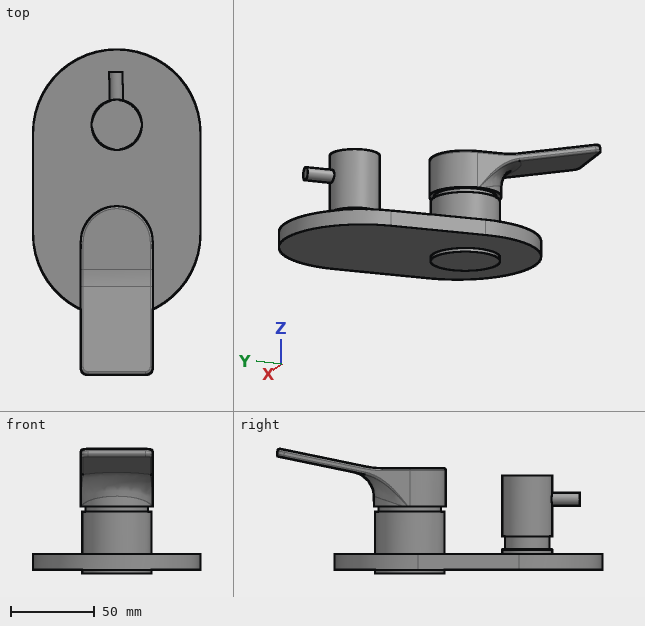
import cadquery as cq
import math

PLATE_WIDTH = 100.0
PLATE_LENGTH = 160.0
PLATE_THICKNESS = 9.5
AXIS_OFFSET = 35.0

SLEEVE_RADIUS = 20.75
SLEEVE_LENGTH = 37.0
SLEEVE_BELOW_PLATE = 2.3
COLLAR_RADIUS = 18.7
COLLAR_HEIGHT = 3.0
LEVER_WIDTH = 43.0
LEVER_HUB_HEIGHT = 23.0
BLADE_ANGLE = 11.66
BLADE_THICKNESS = 4.9
BLADE_LENGTH = 53.25
BEND_START = 16.3
BEND_RADIUS = 50.0
WEB_RADIUS = 14.5
TIP_CORNER_RADIUS = 4.3
LEVER_EDGE_RADIUS = 1.5

FLANGE_RADIUS = 15.0
FLANGE_HEIGHT = 2.8
FLANGE_CHAMFER = 0.4
NECK_RADIUS = 13.3
KNOB_RADIUS = 15.0
KNOB_BOTTOM = 10.5
KNOB_HEIGHT = 36.3
PIN_TURN = 1.0
PIN_RADIUS = 4.0
PIN_REACH = 31.4
PIN_HEIGHT = 32.6

SLEEVE_BOTTOM = -PLATE_THICKNESS - SLEEVE_BELOW_PLATE
SLEEVE_TOP = SLEEVE_BOTTOM + SLEEVE_LENGTH
LEVER_BOTTOM = SLEEVE_TOP + COLLAR_HEIGHT
LEVER_TOP = LEVER_BOTTOM + LEVER_HUB_HEIGHT


def cylinder(y, bottom, radius, height):
    """Upright cylinder standing at (0, y) from the given level."""
    return cq.Workplane("XY", origin=(0, y, bottom)).circle(radius).extrude(height)


def make_plate():
    """Stadium plate with a through hole for the mixer sleeve."""
    plate = (
        cq.Workplane("XY", origin=(0, 0, -PLATE_THICKNESS))
        .slot2D(PLATE_LENGTH, PLATE_WIDTH, 90)
        .extrude(PLATE_THICKNESS)
    )
    return plate.cut(cylinder(-AXIS_OFFSET, -PLATE_THICKNESS, SLEEVE_RADIUS, PLATE_THICKNESS))


def box_around(first, second, width):
    """Selector for edges lying wholly near the line between two (Y, Z) points."""
    margin = 0.1
    low = [min(a, b) - margin for a, b in zip(first, second)]
    high = [max(a, b) + margin for a, b in zip(first, second)]
    return cq.selectors.BoxSelector(
        (-width / 2 - margin, low[0], low[1]),
        (width / 2 + margin, high[0], high[1]),
        boundingbox=True,
    )


def make_lever():
    """Round hub and rising blade, joined underneath by a large concave fillet."""
    slope = math.radians(BLADE_ANGLE)
    rise, run = math.sin(slope), math.cos(slope)
    hub_radius = LEVER_WIDTH / 2

    def bend_point(angle):
        """(Y, Z) point on the top bend, with Y measured from the mixer axis."""
        return (
            -BEND_START - BEND_RADIUS * math.sin(angle),
            LEVER_TOP + BEND_RADIUS * (1 - math.cos(angle)),
        )

    bend_end = bend_point(slope)
    tip_top = (bend_end[0] - BLADE_LENGTH * run, bend_end[1] + BLADE_LENGTH * rise)
    tip_bottom = (tip_top[0] - BLADE_THICKNESS * rise, tip_top[1] - BLADE_THICKNESS * run)
    slab_back = LEVER_WIDTH
    underside_back = (slab_back, tip_bottom[1] - (slab_back - tip_bottom[0]) * math.tan(slope))

    slab_width = 3 * LEVER_WIDTH
    slab = (
        cq.Workplane("YZ", origin=(-slab_width / 2, 0, 0))
        .moveTo(slab_back, LEVER_TOP)
        .lineTo(-BEND_START, LEVER_TOP)
        .threePointArc(bend_point(slope / 2), bend_end)
        .lineTo(*tip_top)
        .lineTo(*tip_bottom)
        .lineTo(*underside_back)
        .close()
        .extrude(slab_width)
    )
    hub_depth = 2 * LEVER_HUB_HEIGHT
    hub = cylinder(0, LEVER_TOP - hub_depth, hub_radius, hub_depth)
    hub = hub.cut(slab)
    body = slab.union(hub)
    root_top = LEVER_TOP - BLADE_THICKNESS / 2
    root_zone = box_around((-hub_radius, LEVER_BOTTOM), (hub_radius, root_top), LEVER_WIDTH)
    body = body.edges(root_zone).edges("not %LINE").fillet(WEB_RADIUS)

    trim_height = 2 * LEVER_HUB_HEIGHT
    trim_length = 2 * BLADE_LENGTH
    outline = cylinder(0, LEVER_BOTTOM, hub_radius, trim_height).union(
        cq.Workplane("XY", origin=(0, -trim_length / 2, LEVER_BOTTOM))
        .rect(LEVER_WIDTH, trim_length)
        .extrude(trim_height)
    )
    lever = cq.Workplane(body.intersect(outline).solids().val())

    corner_zone = box_around(tip_top, tip_bottom, LEVER_WIDTH)
    lever = lever.edges(corner_zone).edges("not |X").fillet(TIP_CORNER_RADIUS)
    for tip in (tip_top, tip_bottom):
        rim_zone = box_around(tip, tip, LEVER_WIDTH - TIP_CORNER_RADIUS)
        lever = lever.edges(rim_zone).edges("|X").fillet(LEVER_EDGE_RADIUS)
    return lever.translate((0, -AXIS_OFFSET, 0))


def make_stem():
    """Diverter stem: a flange resting on the plate and a narrower neck."""
    flange = cylinder(AXIS_OFFSET, 0, FLANGE_RADIUS, FLANGE_HEIGHT).faces(">Z").chamfer(FLANGE_CHAMFER)
    return flange.union(cylinder(AXIS_OFFSET, 0, NECK_RADIUS, KNOB_BOTTOM))


def make_pin(knob):
    """Round handle pin, turned slightly about the knob axis and ending on the knob's side."""
    pin = cq.Workplane("XZ", origin=(0, AXIS_OFFSET, PIN_HEIGHT)).circle(PIN_RADIUS).extrude(-PIN_REACH)
    pin = pin.rotate((0, AXIS_OFFSET, 0), (0, AXIS_OFFSET, 1), PIN_TURN)
    return pin.cut(knob)


plate = make_plate()
sleeve = cylinder(-AXIS_OFFSET, SLEEVE_BOTTOM, SLEEVE_RADIUS, SLEEVE_LENGTH)
collar = cylinder(-AXIS_OFFSET, SLEEVE_TOP, COLLAR_RADIUS, COLLAR_HEIGHT)
lever = make_lever()
stem = make_stem()
knob = cylinder(AXIS_OFFSET, KNOB_BOTTOM, KNOB_RADIUS, KNOB_HEIGHT)
pin = make_pin(knob)
result = cq.Compound.makeCompound([
    plate.solids().val(),
    sleeve.solids().val(),
    collar.solids().val(),
    lever.solids().val(),
    stem.solids().val(),
    knob.solids().val(),
    pin.solids().val(),
])